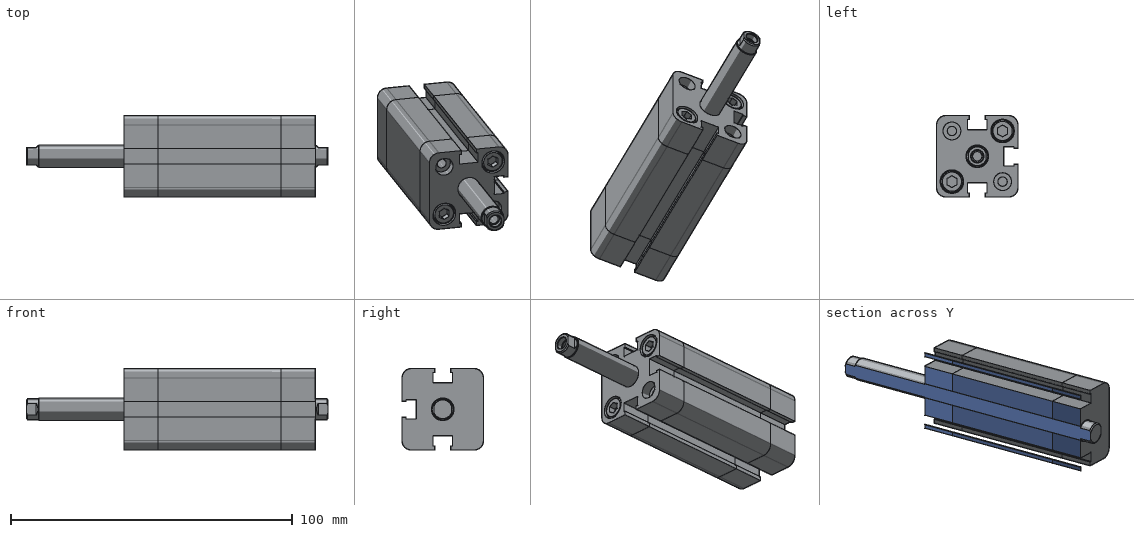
import cadquery as cq
import math

TOTAL_LENGTH = 107.0
ROD_REACH = 34.6
CAP_LENGTH = 12.2
BODY_LENGTH = 67.9
BARREL_LENGTH = BODY_LENGTH - 2 * CAP_LENGTH
BARREL_START = ROD_REACH + CAP_LENGTH
REAR_CAP_START = BARREL_START + BARREL_LENGTH
BODY_END = ROD_REACH + BODY_LENGTH

WIDTH = 29.0
CORNER_RADIUS = 3.4
SLOT_OPENING = 5.6
SLOT_INNER_WIDTH = 6.7
SLOT_DEPTH = 5.0
SLOT_LIP = 1.5
SLOT_TURNS = (-90, 0, 90)

CORNER_OFFSET = 9.0
HOLE_DIAMETER = 6.3
HOLE_DEPTH = 3.5
PILOT_DIAMETER = 3.3
RECESS_DIAMETER = 8.3
RECESS_DEPTH = 4.3
HEAD_DIAMETER = 7.7
HEAD_CHAMFER = 0.4
HEAD_SETBACK = 0.3
HEX_SIDES = 6
HEX_FLATS = 3.6
HEX_DEPTH = 2.7

ROD_DIAMETER = 8.0
NECK_DIAMETER = 7.5
NECK_LENGTH = 4.3
FLAT_WIDTH = 6.2
FLAT_LENGTH = 3.4
END_CHAMFER = 0.4
SHOULDER_CHAMFER = 0.2
BORE_DIAMETER = 3.3
BORE_DEPTH = 10.7
COUNTERBORE_DIAMETER = 4.3
COUNTERBORE_DEPTH = 2.1
MOUTH_CHAMFER = 0.2


def plane_at(x):
    """Plane facing +X at distance x, with local axes along Y and Z."""
    return cq.Workplane("YZ", origin=(x, 0, 0))


def cylinder(x, diameter, length, y=0.0, z=0.0):
    """Cylinder along +X that starts at x."""
    return plane_at(x).center(y, z).circle(diameter / 2).extrude(length)


def slot_cutter(x, length):
    """T-slot along X that opens on the -Y side."""
    opening = cq.Workplane("XY").box(length, SLOT_DEPTH, SLOT_OPENING, centered=(False, False, True))
    undercut = cq.Workplane("XY").box(
        length, SLOT_DEPTH - SLOT_LIP, SLOT_INNER_WIDTH, centered=(False, False, True)
    )
    tee = opening.union(undercut.translate((0, SLOT_LIP, 0)))
    return tee.translate((x, -WIDTH / 2, 0))


def make_section(x, length):
    """Length of the slotted section, with a hole for the rod."""
    section = plane_at(x).rect(WIDTH, WIDTH).extrude(length).edges("|X").fillet(CORNER_RADIUS)
    cutter = slot_cutter(x, length)
    for turn in SLOT_TURNS:
        section = section.cut(cutter.rotate((0, 0, 0), (1, 0, 0), turn))
    return section.cut(cylinder(x, ROD_DIAMETER, length))


def cut_mounting_hole(cap, y, z):
    """Blind hole with a narrower pilot through the rest of the cap."""
    cap = cap.cut(cylinder(ROD_REACH, HOLE_DIAMETER, HOLE_DEPTH, y, z))
    return cap.cut(cylinder(ROD_REACH, PILOT_DIAMETER, CAP_LENGTH, y, z))


def add_screw_head(cap, y, z):
    """Recess holding a screw head with a hexagon socket, in one piece with the cap."""
    head_face = ROD_REACH + HEAD_SETBACK
    head = cylinder(head_face, HEAD_DIAMETER, RECESS_DEPTH - HEAD_SETBACK, y, z)
    head = head.faces("<X").chamfer(HEAD_CHAMFER)
    hexagon = plane_at(head_face).center(y, z).transformed(rotate=(0, 0, 90))
    hexagon = hexagon.polygon(HEX_SIDES, HEX_FLATS / math.cos(math.pi / HEX_SIDES)).extrude(HEX_DEPTH)
    cap = cap.cut(cylinder(ROD_REACH, RECESS_DIAMETER, RECESS_DEPTH, y, z))
    return cap.union(head.cut(hexagon))


def make_front_cap():
    """Slotted end section with the mounting holes and screw heads at its corners."""
    cap = make_section(ROD_REACH, CAP_LENGTH)
    for side in (1, -1):
        cap = cut_mounting_hole(cap, side * CORNER_OFFSET, side * CORNER_OFFSET)
        cap = add_screw_head(cap, -side * CORNER_OFFSET, side * CORNER_OFFSET)
    return cap


def flat_cutter(side):
    """Wrench flat at the rod's free end, with a 45 degree run-out, on the +Y or -Y side."""
    inner = FLAT_WIDTH / 2
    run_out = ROD_DIAMETER - inner
    points = [
        (0, inner),
        (FLAT_LENGTH, inner),
        (FLAT_LENGTH + run_out, inner + run_out),
        (0, inner + run_out),
    ]
    outline = [(x, side * y) for x, y in points]
    return cq.Workplane("XY").polyline(outline).close().extrude(ROD_DIAMETER, both=True)


def make_rod():
    """Shaft with a flatted neck at each end and a stepped bore in the front end."""
    rod = cylinder(0, NECK_DIAMETER, TOTAL_LENGTH).faces("<X or >X").chamfer(END_CHAMFER)
    shaft = cylinder(NECK_LENGTH, ROD_DIAMETER, BODY_END - NECK_LENGTH)
    rod = rod.union(shaft.faces("<X").chamfer(SHOULDER_CHAMFER))
    for side in (1, -1):
        front_flat = flat_cutter(side)
        rear_flat = front_flat.mirror("YZ").translate((TOTAL_LENGTH, 0, 0))
        rod = rod.cut(front_flat).cut(rear_flat)
    rod = rod.cut(cylinder(0, COUNTERBORE_DIAMETER, COUNTERBORE_DEPTH))
    rod = rod.faces("<X").edges(cq.selectors.RadiusNthSelector(0)).chamfer(MOUTH_CHAMFER)
    return rod.cut(cylinder(0, BORE_DIAMETER, BORE_DEPTH))


front_cap = make_front_cap()
barrel = make_section(BARREL_START, BARREL_LENGTH)
rear_cap = make_section(REAR_CAP_START, CAP_LENGTH)
rod = make_rod()

result = cq.Compound.makeCompound([front_cap.val(), barrel.val(), rear_cap.val(), rod.val()])